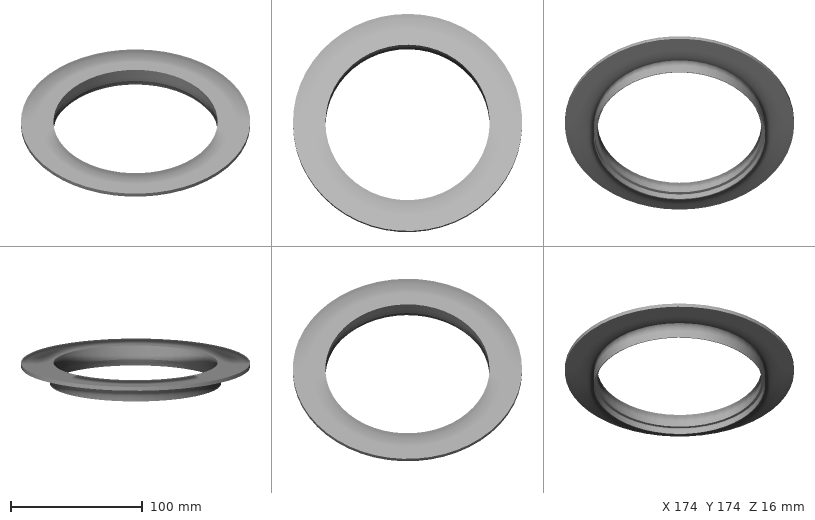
import cadquery as cq

flange_diameter = 174.0
flange_thickness = 3.0
sleeve_diameter = 130.2
total_height = 16.0

bore_diameter = 124.5
recess_diameter = 129.0
recess_depth = 5.2


def disc(diameter, bottom, top):
    """Solid disc about the Z axis between two heights."""
    return cq.Workplane("XY").workplane(offset=bottom).circle(diameter / 2).extrude(top - bottom)


sleeve = disc(sleeve_diameter, 0, total_height)
flange = disc(flange_diameter, total_height - flange_thickness, total_height)
bore = disc(bore_diameter, 0, total_height)
recess = disc(recess_diameter, 0, recess_depth)

result = sleeve.union(flange).cut(bore).cut(recess)